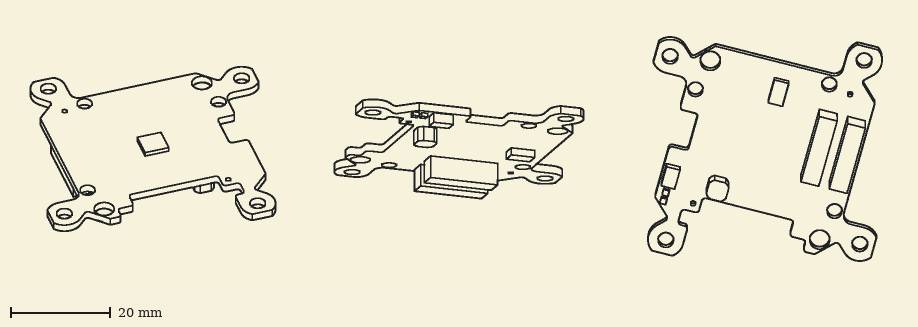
import cadquery as cq
import math

OVERALL = 52.85
BOARD_THICKNESS = 1.65
BODY_SIDE = 37.5
BODY_CHAMFER = 3.5
BODY_HALF = BODY_SIDE / 2

EAR_RADIUS = 3.6
EAR_CENTER = (-23.5, -14.3)
RECESSED_EAR = 2
CROTCH_RADIUS = 0.5
FLARE_RADIUS = 1.85

TOP_NOTCH_WIDTH = 8.05
TOP_NOTCH_CENTER_X = 0.05
TOP_NOTCH_DEPTH = 3.85
RECESS_OUTER_X = 19.65
RECESS_DEEP_X = 12.9
RECESS_DEEP_HALF = 9.45
RECESS_SHALLOW_X = 16.35
RECESS_SHALLOW_HALF = 12.9
NOTCH_RADIUS = 0.75

EAR_HOLE_DIAMETER = 3.1
INNER_HOLE_DIAMETER = 3.0
INNER_HOLE_CENTER = (-16.8, -8.9)
LARGE_HOLE_DIAMETER = 4.0
LARGE_HOLE_OFFSET = 15.5
PIN_HOLE_DIAMETER = 1.0
PIN_HOLE_CENTERS = [(14.65, 11.05), (-15.85, -13.4)]

CONNECTOR_SIZE = (14.3, 3.7, 4.55)
CONNECTOR_X = -4.05
CONNECTOR_YS = [-10.15, -16.0]
REGULATOR_SIZE = (5.0, 3.0, 1.5)
REGULATOR_CENTER = (-12.9, 0.65)
BUTTON_SIZE = (4.2, 2.8, 2.0)
BUTTON_CENTER = (9.9, 16.95)
LED_SIZE = (1.2, 1.2, 0.75)
LED_XS = [13.65, 15.45]
POST_SIDE = 4.05
POST_HEIGHT = 2.95
POST_DIAMETER = 4.65
POST_CENTER = (9.8, 7.25)

CHIP_SIDE = 5.0
CHIP_HEIGHT = 0.9


def quarter_turn(point, turns):
    """Turn an XY point counterclockwise about the origin by quarter turns."""
    x, y = point
    for _ in range(turns):
        x, y = -y, x
    return (x, y)


def slab(x_min, x_max, y_min, y_max):
    """Rectangular piece as thick as the board."""
    return (
        cq.Workplane("XY")
        .box(x_max - x_min, y_max - y_min, BOARD_THICKNESS, centered=False)
        .translate((x_min, y_min, -BOARD_THICKNESS))
    )


def disc(center, diameter):
    """Round piece as thick as the board."""
    return cq.Workplane("XY").center(*center).circle(diameter / 2).extrude(-BOARD_THICKNESS)


def round_corners(solid, corners, radius):
    """Round the upright board edges that stand at the given XY corners."""
    for x, y in corners:
        nearest = cq.selectors.NearestToPointSelector((x, y, -BOARD_THICKNESS / 2))
        solid = solid.edges("|Z").edges(nearest).fillet(radius)
    return solid


ear_x, ear_y = EAR_CENTER
ear_top = ear_y + EAR_RADIUS
tangent_step = EAR_RADIUS * math.sqrt(0.5)
ear_tangent = (ear_x + tangent_step, ear_y - tangent_step)
ear_tangent_offset = ear_tangent[0] - ear_tangent[1]
chamfer_corner = (-BODY_HALF, BODY_CHAMFER - BODY_HALF)
ear_crotch = (chamfer_corner[1] + ear_tangent_offset, chamfer_corner[1])
flare_corner = (-BODY_HALF, ear_top)


def make_ear():
    neck = (
        cq.Workplane("XY")
        .polyline([EAR_CENTER, ear_tangent, ear_crotch, chamfer_corner, flare_corner, (ear_x, ear_top)])
        .close()
        .extrude(-BOARD_THICKNESS)
    )
    ear = neck.union(disc(EAR_CENTER, 2 * EAR_RADIUS))
    return ear.intersect(slab(-OVERALL / 2, 0, -OVERALL / 2, 0))


def make_outline():
    board = slab(-BODY_HALF, BODY_HALF, -BODY_HALF, BODY_HALF).edges("|Z").chamfer(BODY_CHAMFER)
    for turns in range(4):
        board = board.union(make_ear().rotate((0, 0, 0), (0, 0, 1), 90 * turns))
    for turns in range(4):
        crotch_corners = [quarter_turn(ear_crotch, turns), quarter_turn(chamfer_corner, turns)]
        board = round_corners(board, crotch_corners, CROTCH_RADIUS)
        if turns != RECESSED_EAR:
            board = round_corners(board, [quarter_turn(flare_corner, turns)], FLARE_RADIUS)
    return board


def cut_top_notch(board):
    left = TOP_NOTCH_CENTER_X - TOP_NOTCH_WIDTH / 2
    right = left + TOP_NOTCH_WIDTH
    floor = BODY_HALF - TOP_NOTCH_DEPTH
    board = board.cut(slab(left, right, floor, BODY_HALF))
    corners = [(x, y) for x in (left, right) for y in (floor, BODY_HALF)]
    return round_corners(board, corners, NOTCH_RADIUS)


def cut_side_recess(board):
    deep, shallow = RECESS_DEEP_HALF, RECESS_SHALLOW_HALF
    board = board.cut(slab(RECESS_DEEP_X, RECESS_OUTER_X, -deep, deep))
    board = board.cut(slab(RECESS_SHALLOW_X, RECESS_OUTER_X, -shallow, shallow))
    corners = [(RECESS_OUTER_X, -ear_top), (RECESS_OUTER_X, shallow), (BODY_HALF, -shallow)]
    for side in (-1, 1):
        corners.append((RECESS_SHALLOW_X, side * shallow))
        corners.append((RECESS_SHALLOW_X, side * deep))
        corners.append((RECESS_DEEP_X, side * deep))
    return round_corners(board, corners, NOTCH_RADIUS)


def drill_holes(board):
    for turns in range(4):
        board = board.cut(disc(quarter_turn(EAR_CENTER, turns), EAR_HOLE_DIAMETER))
        if turns != RECESSED_EAR:
            board = board.cut(disc(quarter_turn(INNER_HOLE_CENTER, turns), INNER_HOLE_DIAMETER))
    for side in (-1, 1):
        board = board.cut(disc((side * LARGE_HOLE_OFFSET, -side * LARGE_HOLE_OFFSET), LARGE_HOLE_DIAMETER))
    for center in PIN_HOLE_CENTERS:
        board = board.cut(disc(center, PIN_HOLE_DIAMETER))
    return board


def underside_block(size, center):
    """Box hanging from the underside of the board."""
    length, width, height = size
    return (
        cq.Workplane("XY", origin=(*center, -BOARD_THICKNESS))
        .rect(length, width)
        .extrude(-height)
    )


def make_post():
    block = underside_block((POST_SIDE, POST_SIDE, POST_HEIGHT), POST_CENTER)
    stock = cq.Workplane("XY", origin=(*POST_CENTER, -BOARD_THICKNESS)).circle(POST_DIAMETER / 2)
    return block.intersect(stock.extrude(-POST_HEIGHT))


def make_board():
    board = drill_holes(cut_side_recess(cut_top_notch(make_outline())))
    for y in CONNECTOR_YS:
        board = board.union(underside_block(CONNECTOR_SIZE, (CONNECTOR_X, y)))
    for x in LED_XS:
        board = board.union(underside_block(LED_SIZE, (x, BUTTON_CENTER[1])))
    board = board.union(underside_block(REGULATOR_SIZE, REGULATOR_CENTER))
    board = board.union(underside_block(BUTTON_SIZE, BUTTON_CENTER))
    return board.union(make_post())


def make_chip():
    return cq.Workplane("XY").rect(CHIP_SIDE, CHIP_SIDE).extrude(CHIP_HEIGHT)


board = make_board()
chip = make_chip()

result = cq.Compound.makeCompound([board.val(), chip.val()])